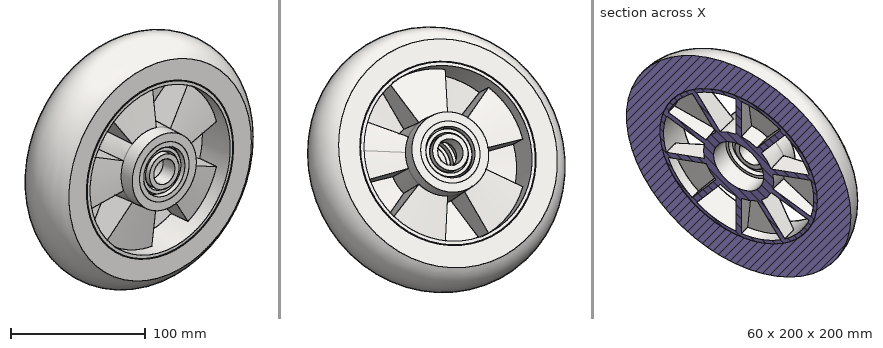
import cadquery as cq
import math


wheel_diameter = 200.0
tread_width = 50.0
crown_radius = 30.0
seat_diameter = 139.5

rim_width = tread_width
rim_edge_diameter = 138.5
rim_edge_depth = 0.5
rim_inner_diameter = 133.0

hub_width = 60.0
hub_face_diameter = 60.8
hub_draft_degrees = 2.0
hub_bore_diameter = 44.0

web_half_width_at_hub = 17.2
web_half_width_at_rim = 11.8
web_floor_thickness = 3.5
web_wall_thickness = 5.2
pocket_count = 5

bearing_outer_diameter = 47.0
bearing_bore_diameter = 20.0
bearing_width = 14.0
outer_ring_inner_diameter = 39.0
inner_ring_outer_diameter = 28.0
shield_face_outer_diameter = 36.2
shield_face_inner_diameter = 30.8
shield_face_depth = 3.0
shield_edge_depth = 6.0

wheel_radius = wheel_diameter / 2
tread_half_width = tread_width / 2
rim_half_width = rim_width / 2
hub_half_width = hub_width / 2
seat_radius = seat_diameter / 2
rim_inner_radius = rim_inner_diameter / 2
hub_face_radius = hub_face_diameter / 2
hub_draft = math.tan(math.radians(hub_draft_degrees))
hub_root_radius = hub_face_radius + hub_draft * (hub_half_width - web_half_width_at_hub)
web_slope = (web_half_width_at_hub - web_half_width_at_rim) / (rim_inner_radius - hub_root_radius)
web_tip_radius = (rim_inner_radius + rim_edge_diameter / 2) / 2


def revolve_about_x(profile):
    """Revolve a closed profile, drawn as (x, radius) on the XY plane, about the X axis."""
    return profile.revolve(360, (0, 0, 0), (1, 0, 0))


def web_half_width(radius):
    """Distance of the web's conical outer surface from X = 0."""
    return web_half_width_at_hub - web_slope * (radius - hub_root_radius)


def make_tread():
    face_radius = wheel_radius - crown_radius + math.sqrt(crown_radius**2 - tread_half_width**2)
    profile = (
        cq.Workplane("XY")
        .moveTo(-tread_half_width, seat_radius)
        .lineTo(-tread_half_width, face_radius)
        .threePointArc((0, wheel_radius), (tread_half_width, face_radius))
        .lineTo(tread_half_width, seat_radius)
        .close()
    )
    return revolve_about_x(profile)


def make_rim_ring():
    """Ring inside the tread, with a small step at each outer edge."""
    edge_radius = rim_edge_diameter / 2
    shoulder = rim_half_width - rim_edge_depth
    profile = cq.Workplane("XY").polyline([
        (-rim_half_width, rim_inner_radius),
        (-rim_half_width, edge_radius),
        (-shoulder, edge_radius),
        (-shoulder, seat_radius),
        (shoulder, seat_radius),
        (shoulder, edge_radius),
        (rim_half_width, edge_radius),
        (rim_half_width, rim_inner_radius),
    ]).close()
    return revolve_about_x(profile)


def make_hub_and_solid_web():
    """Hub with a bearing seat at each end of its bore, and a solid web whose tip reaches into the rim ring."""
    seat_end = hub_half_width - bearing_width
    seat_bore_radius = bearing_outer_diameter / 2
    bore_radius = hub_bore_diameter / 2
    right_side = [
        (seat_end, bore_radius),
        (seat_end, seat_bore_radius),
        (hub_half_width, seat_bore_radius),
        (hub_half_width, hub_face_radius),
        (web_half_width_at_hub, hub_root_radius),
        (web_half_width(web_tip_radius), web_tip_radius),
    ]
    left_side = [(-x, radius) for x, radius in reversed(right_side)]
    return revolve_about_x(cq.Workplane("XY").polyline(right_side + left_side).close())


def make_pocket():
    """Pocket toward -Y, open at the -X side: its inner wall continues the hub's draft down to the floor."""
    floor_at_hub = web_half_width_at_hub - web_floor_thickness
    ring = revolve_about_x(cq.Workplane("XY").polyline([
        (-web_half_width_at_hub, hub_root_radius),
        (floor_at_hub, hub_root_radius + hub_draft * (web_half_width_at_hub + floor_at_hub)),
        (web_half_width(seat_radius) - web_floor_thickness, seat_radius),
        (-web_half_width_at_hub, seat_radius),
    ]).close())
    half_angle = math.pi / (2 * pocket_count)
    apex = web_wall_thickness / 2 / math.sin(half_angle)
    reach = wheel_radius
    half_spread = (reach - apex) * math.tan(half_angle)
    sector = (
        cq.Workplane("YZ")
        .polyline([(-apex, 0), (-reach, half_spread), (-reach, -half_spread)])
        .close()
        .extrude(hub_width, both=True)
    )
    return ring.intersect(sector)


def make_rim():
    """Hub and rim ring joined by a web with pockets alternating between its two sides."""
    rim = make_hub_and_solid_web()
    front_pocket = make_pocket()
    back_pocket = front_pocket.mirror("YZ")
    pitch = 360 / pocket_count
    for index in range(pocket_count):
        rim = rim.cut(front_pocket.rotate((0, 0, 0), (1, 0, 0), index * pitch), clean=False)
        rim = rim.cut(back_pocket.rotate((0, 0, 0), (1, 0, 0), (index + 0.5) * pitch), clean=False)
    return rim.union(make_rim_ring(), clean=False)


def make_bearing():
    """Sealed bearing flush with the -X hub face, with a bevelled shield set back at each side."""
    bore = bearing_bore_diameter / 2
    inner_ring = inner_ring_outer_diameter / 2
    shield_inner = shield_face_inner_diameter / 2
    shield_outer = shield_face_outer_diameter / 2
    outer_ring = outer_ring_inner_diameter / 2
    outside = bearing_outer_diameter / 2
    side = [
        (0, bore),
        (0, inner_ring),
        (shield_edge_depth, inner_ring),
        (shield_face_depth, shield_inner),
        (shield_face_depth, shield_outer),
        (shield_edge_depth, outer_ring),
        (0, outer_ring),
        (0, outside),
    ]
    opposite_side = [(bearing_width - x, radius) for x, radius in reversed(side)]
    profile = cq.Workplane("XY").polyline(side + opposite_side).close()
    return revolve_about_x(profile).translate((-hub_half_width, 0, 0))


tread = make_tread()
rim = make_rim()
bearings = []
for turn in (0, 180):
    bearings.append(make_bearing().rotate((0, 0, 0), (0, 0, 1), turn).val())

result = cq.Compound.makeCompound([tread.val(), rim.val(), *bearings])